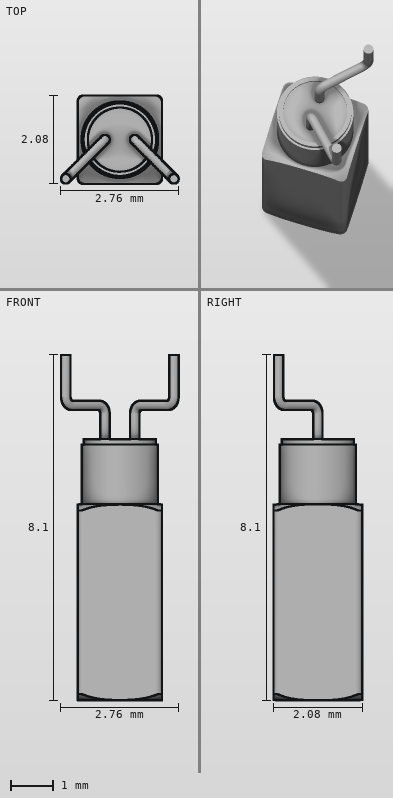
import cadquery as cq
import math

sleeve_width = 1.985
sleeve_depth = 2.08
sleeve_height = 4.6
corner_radius = 0.15
end_round_radius = 0.81

can_radius = 0.9
shoulder_z = 5.99
rim_radius = 0.85
rim_top_z = 6.12
recess_radius = 0.75
recess_depth = 0.05
recess_floor_z = rim_top_z - recess_depth

lead_span = 2.76
lead_radius = 0.11
lead_offset = 0.35
lead_top_z = 8.1
lead_arm_z = 6.92
bend_radius = 0.2
lead_reach = lead_span / 2 - lead_radius - lead_offset
arm_length = math.hypot(lead_reach, lead_reach)


def make_sleeve():
    """Square bar, bored for the can, with both ends curving down from the rim of the bore."""
    bar = cq.Workplane("XY").box(sleeve_width, sleeve_depth, sleeve_height, centered=(True, True, False))
    bar = bar.edges("|Z").fillet(corner_radius)
    envelope_radius = can_radius + end_round_radius
    envelope = (
        cq.Workplane("XY")
        .circle(envelope_radius)
        .extrude(sleeve_height)
        .edges()
        .fillet(end_round_radius)
    )
    bore = cq.Workplane("XY").circle(can_radius).extrude(sleeve_height)
    return bar.intersect(envelope).cut(bore)


def make_can():
    """Cylinder with a stepped rim and a shallow recess in its top."""
    body = cq.Workplane("XY").circle(can_radius).extrude(shoulder_z)
    rim = cq.Workplane("XY").workplane(offset=shoulder_z).circle(rim_radius).extrude(rim_top_z - shoulder_z)
    recess = cq.Workplane("XY").workplane(offset=recess_floor_z).circle(recess_radius).extrude(recess_depth)
    return body.union(rim).cut(recess)


def make_lead(side):
    """Round wire bent out at 45 degrees and up again; side is -1 for -X, +1 for +X."""
    bend_plane = cq.Plane(
        origin=(side * lead_offset, 0, 0),
        xDir=(side, -1, 0),
        normal=(-1, -side, 0),
    )
    bend_mid = bend_radius * (1 - math.sqrt(0.5))
    path = (
        cq.Workplane(bend_plane)
        .moveTo(0, recess_floor_z)
        .lineTo(0, lead_arm_z - bend_radius)
        .threePointArc((bend_mid, lead_arm_z - bend_mid), (bend_radius, lead_arm_z))
        .lineTo(arm_length - bend_radius, lead_arm_z)
        .threePointArc((arm_length - bend_mid, lead_arm_z + bend_mid), (arm_length, lead_arm_z + bend_radius))
        .lineTo(arm_length, lead_top_z)
    )
    profile = cq.Workplane("XY", origin=(side * lead_offset, 0, recess_floor_z)).circle(lead_radius)
    return profile.sweep(path)


sleeve = make_sleeve()
can = make_can()
leads = [make_lead(side) for side in (-1, 1)]

result = cq.Compound.makeCompound([sleeve.val(), can.val(), *[lead.val() for lead in leads]])